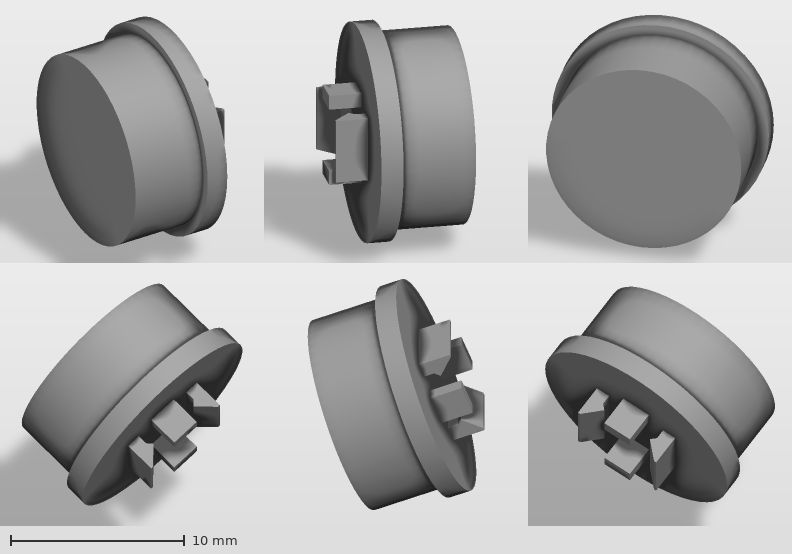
import cadquery as cq

flange_diameter = 12.8
flange_thickness = 1.3
cap_diameter = 11.5
cap_length = 4.4

socket_size = 3.8
wall_thickness = 0.85
wall_height = 1.9
post_width = 1.8

clip_tip_land = 0.15
hook_reach = 0.3
hook_height = 0.9
hook_undercut = 0.3

socket_half = socket_size / 2
wall_outer = socket_half + wall_thickness


def make_cap():
    """Flange and smaller front cylinder, both extending toward -Y."""
    flange = cq.Workplane("XZ").circle(flange_diameter / 2).extrude(flange_thickness)
    return flange.faces("<Y").workplane().circle(cap_diameter / 2).extrude(cap_length)


def make_clip():
    """Clip on the +X side of the socket, with its hook pointing inward."""
    return (
        cq.Workplane("XY")
        .moveTo(wall_outer, 0)
        .lineTo(wall_outer, wall_height)
        .lineTo(wall_outer - clip_tip_land, wall_height)
        .lineTo(socket_half - hook_reach, hook_height)
        .lineTo(socket_half, hook_height - hook_undercut)
        .lineTo(socket_half, 0)
        .close()
        .extrude(socket_half, both=True)
    )


def make_post():
    """Plain post on the +Z side of the socket."""
    return (
        cq.Workplane("XY")
        .workplane(offset=socket_half)
        .center(0, wall_height / 2)
        .rect(post_width, wall_height)
        .extrude(wall_thickness)
    )


result = make_cap()
for side_angle in (0, 180):
    for wall in (make_clip(), make_post()):
        result = result.union(wall.rotate((0, 0, 0), (0, 1, 0), side_angle))